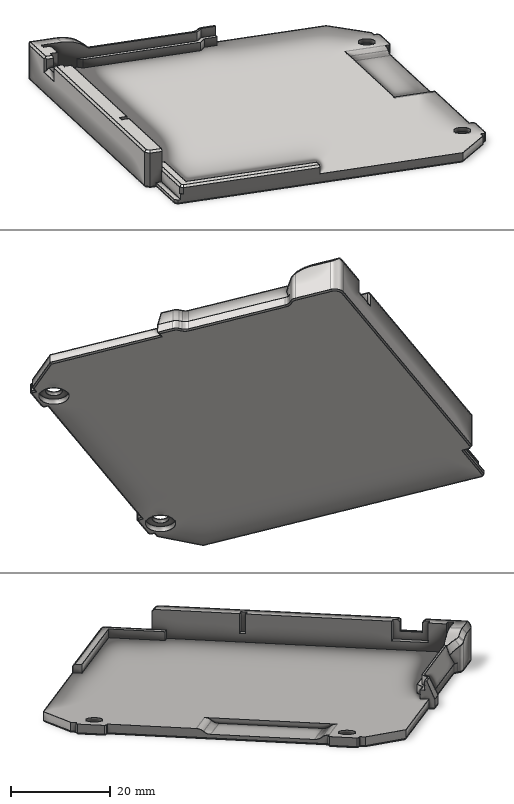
import cadquery as cq
import math

length = 75.8
width = 73.0
height = 8.0

ledge_z = 1.0
plate_z = 2.1
step_z = 3.95
side_wall_z = 5.9

plate_left = 1.2
plate_back = 71.85
back_corner_y = 64.7
back_corner_left = 8.2
back_corner_right = 68.8
tabs = ((9.3, 15.7), (61.25, 67.6))
tab_corner = 0.4
hole_diameter = 3.4
counterbore_diameter = 6.1
counterbore_depth = 1.2
hole_y = 69.05
hole_xs = (12.5, 64.5)
bottom_chamfer = 0.3

front_wall_right = 65.35
front_wall_inner = 3.5
front_wall_chamfer = 0.45
front_left_radius = 2.0
front_right_chamfer = 0.8
recess_front = 1.9
window_left = 10.0
window_right = 14.6
window_z = 5.6
window_chamfer = 0.9
window_side_chamfer = 0.45

side_wall_back = 40.3
upper_jog_y = 36.3
lower_jog_y = 10.5
jog = 1.45
jog_angle = 45
jog_radius = 1.75
side_wall_lean = 1.7
side_wall_land = 0.45
side_step_width = 0.9

block_chamfer = 1.0
block_flat_back = 6.2
block_drop_back = 12.1

low_wall_front = 3.3
low_wall_inner_y = 5.2
low_wall_left = 62.3
low_wall_inner_x = 73.9
low_wall_back = 33.65
low_wall_chamfer = 0.45
ledge_front = 2.1
low_corner_chamfer = 0.6

pocket_center = 29.3
pocket_half_length = 13.65
pocket_end_length = 2.95
pocket_depth = 1.05
pocket_front = 63.1

side_inner = side_wall_lean + side_wall_land
block_inner = side_inner + jog
step_inner = side_inner + side_step_width
recess_spans = ((8.5, 16.0), (block_inner, 4.8), (46.1, 47.3))

near = 0.1


def box(x0, x1, y0, y1, z0, z1):
    return cq.Workplane("XY").box(x1 - x0, y1 - y0, z1 - z0, centered=False).translate((x0, y0, z0))


def prism(points, z0, z1):
    return cq.Workplane("XY").workplane(offset=z0).polyline(points).close().extrude(z1 - z0)


def in_plan(x0, x1, y0, y1):
    """Select edges whose centers lie in a plan rectangle, at any height."""
    return cq.selectors.BoxSelector((x0, y0, -near), (x1, y1, height + near))


def at_point(x, y):
    """Select the vertical edge standing at (x, y)."""
    return in_plan(x - near, x + near, y - near, y + near)


def fillet_corner(body, x, y, radius):
    return body.edges(at_point(x, y)).fillet(radius)


def chamfer_corner(body, x, y, size):
    return body.edges(at_point(x, y)).chamfer(size)


def wedge(plane, points, depth):
    """Three-sided cutter: a triangle in the named plane, extruded by a signed depth."""
    return cq.Workplane(plane).polyline(points).close().extrude(depth)


def tab_points(x0, x1):
    """Outline of one back tab, from its right end to its left end."""
    return [
        (x1, plate_back),
        (x1, width - tab_corner),
        (x1 - tab_corner, width),
        (x0 + tab_corner, width),
        (x0, width - tab_corner),
        (x0, plate_back),
    ]


def side_line(offset):
    """Plan line of the left wall from its back end to its long inner run, moved inward by offset."""
    y_shift = offset * math.tan(math.radians(jog_angle / 2))
    return [
        (offset, side_wall_back),
        (offset, upper_jog_y + y_shift),
        (offset + jog, upper_jog_y - jog + y_shift),
    ]


def make_base():
    outline = [
        (0, 0),
        (front_wall_right, 0),
        (front_wall_right, ledge_front),
        (length, ledge_front),
        (length, back_corner_y),
        (back_corner_right, plate_back),
    ]
    for x0, x1 in reversed(tabs):
        outline += tab_points(x0, x1)
    outline += [
        (back_corner_left, plate_back),
        (plate_left, back_corner_y),
        (plate_left, side_wall_back),
    ]
    jog_corners = side_line(0)[1:] + [(jog, lower_jog_y + jog), (0, lower_jog_y)]
    outline += [(0, side_wall_back)] + jog_corners
    base = prism(outline, 0, plate_z)
    for x, y in jog_corners:
        base = fillet_corner(base, x, y, jog_radius)
    base = fillet_corner(base, 0, 0, front_left_radius)
    base = chamfer_corner(base, front_wall_right, 0, front_right_chamfer)
    base = chamfer_corner(base, length, ledge_front, low_corner_chamfer)
    base = base.faces("<Z").chamfer(bottom_chamfer)
    return base.cut(box(front_wall_right, length, 0, low_wall_front, ledge_z, plate_z))


def make_front_wall():
    wall = box(front_left_radius, front_wall_right, 0, front_wall_inner, ledge_z, height)
    wall = chamfer_corner(wall, front_wall_right, 0, front_right_chamfer)
    outer_edges = in_plan(front_left_radius + near, length, -near, front_wall_inner - near)
    return wall.faces(">Z").edges(outer_edges).chamfer(front_wall_chamfer)


def make_corner_block():
    """Block with a rounded slope on its top, falling towards the side wall."""
    drop_run = block_drop_back - block_flat_back
    drop = height - side_wall_z
    drop_radius = (drop_run**2 + drop**2) / (2 * drop)
    block_back = lower_jog_y + side_wall_lean + jog
    slope_end_z = height - drop_radius + math.sqrt(drop_radius**2 - (block_back - block_flat_back) ** 2)
    outline = [
        (0, 0),
        (block_inner, 0),
        (block_inner, block_back),
        (block_back - lower_jog_y, block_back),
        (0, lower_jog_y),
    ]
    block = prism(outline, ledge_z, height)
    block = fillet_corner(block, 0, lower_jog_y, jog_radius)
    profile = (
        cq.Workplane("YZ")
        .moveTo(0, ledge_z)
        .lineTo(0, height)
        .lineTo(block_flat_back, height)
        .tangentArcPoint((block_back, slope_end_z), relative=False)
        .lineTo(block_back, ledge_z)
        .close()
        .extrude(block_inner)
    )
    block = block.intersect(profile)
    side_edge = cq.selectors.NearestToPointSelector((0, block_flat_back / 2, height))
    block = block.edges(side_edge).chamfer(block_chamfer)
    low = height - front_wall_chamfer
    block = block.cut(wedge("YZ", [(0, low), (0, height), (front_wall_chamfer, height)], block_inner))
    return fillet_corner(block, 0, 0, front_left_radius)


def make_side_wall():
    """Thin wall with a leaning outer face, and a lower step along its inner side."""

    def section(offset, z):
        line = side_line(offset)
        inner = list(reversed(side_line(side_inner)))
        points = line + [(offset + jog, lower_jog_y), (block_inner, lower_jog_y)] + inner
        return [(x, y, z) for x, y in points]

    bottom = cq.Wire.makePolygon([cq.Vector(*p) for p in section(0, plate_z)], close=True)
    top = cq.Wire.makePolygon([cq.Vector(*p) for p in section(side_wall_lean, side_wall_z)], close=True)
    wall = cq.Workplane(cq.Solid.makeLoft([bottom, top], True))
    middle_z = (plate_z + side_wall_z) / 2
    for x, y in side_line(side_wall_lean / 2)[1:]:
        wall = wall.edges(cq.selectors.NearestToPointSelector((x, y, middle_z))).fillet(jog_radius)

    step_front = lower_jog_y - side_step_width
    step = side_line(step_inner)
    step += [(step_inner + jog, lower_jog_y), (block_inner, step_front)]
    step += list(reversed(side_line(side_inner)))
    return wall.union(prism(step, ledge_z, step_z))


def make_low_wall():
    front = box(low_wall_left, length, low_wall_front, low_wall_inner_y, ledge_z, step_z)
    right = box(low_wall_inner_x, length, low_wall_front, low_wall_back, ledge_z, step_z)
    wall = front.union(right)
    wall = chamfer_corner(wall, length, low_wall_front, low_corner_chamfer)
    corner_back = low_wall_front + low_corner_chamfer
    front_edges = in_plan(low_wall_left + near, length, low_wall_front - near, corner_back)
    right_edge = in_plan(length - near, length + near, low_wall_front, low_wall_back)
    return wall.faces(">Z").edges(front_edges + right_edge).chamfer(low_wall_chamfer)


def cut_wall_openings(body):
    """Inner recesses of the front wall, and its window with flared sides and a sloped sill."""
    for x0, x1 in recess_spans:
        body = body.cut(box(x0, x1, recess_front, front_wall_inner, step_z, height))
    slope_z = window_z - window_chamfer
    body = body.cut(box(window_left, window_right, 0, recess_front, window_z, height))
    outer_left = window_left - window_side_chamfer
    outer_right = window_right + window_side_chamfer
    flare = prism(
        [
            (outer_left, 0),
            (outer_right, 0),
            (window_right, window_side_chamfer),
            (window_right, window_chamfer),
            (window_left, window_chamfer),
            (window_left, window_side_chamfer),
        ],
        slope_z,
        height,
    )
    slope = wedge("YZ", [(0, slope_z), (window_chamfer, slope_z), (window_chamfer, window_z)], length)
    body = body.cut(flare.cut(slope))
    low = height - window_side_chamfer
    top_flare = (
        cq.Workplane("XZ")
        .polyline([(outer_left, height), (outer_right, height), (window_right, low), (window_left, low)])
        .close()
        .extrude(-recess_front)
    )
    return body.cut(top_flare)


def cut_pocket(body):
    """Pocket whose ends rise along two tangent arcs."""
    floor_z = plate_z - pocket_depth
    floor_half = pocket_half_length - pocket_end_length
    half = (
        cq.Workplane("XZ")
        .moveTo(0, floor_z)
        .lineTo(floor_half, floor_z)
        .tangentArcPoint((floor_half + pocket_end_length / 2, floor_z + pocket_depth / 2), relative=False)
        .tangentArcPoint((pocket_half_length, plate_z), relative=False)
        .lineTo(0, plate_z)
        .close()
        .extrude(pocket_front - width)
    )
    cutter = half.union(half.mirror("YZ")).translate((pocket_center, pocket_front, 0))
    return body.cut(cutter)


def cut_screw_holes(body):
    """Through holes, counterbored from below."""
    points = [(x, hole_y) for x in hole_xs]
    centers = cq.Workplane("XY").pushPoints(points)
    holes = centers.circle(hole_diameter / 2).extrude(plate_z)
    counterbores = centers.circle(counterbore_diameter / 2).extrude(counterbore_depth)
    return body.cut(holes).cut(counterbores)


result = make_base()
for feature in (make_front_wall(), make_corner_block(), make_side_wall(), make_low_wall()):
    result = result.union(feature)
result = cut_wall_openings(result)
result = cut_pocket(result)
result = cut_screw_holes(result)